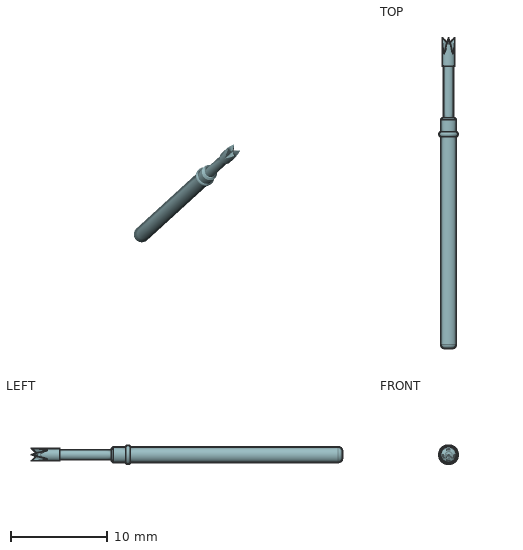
import cadquery as cq
import math


total_length = 32.3
barrel_length = 24.0
head_length = 2.95
collar_center = 22.27
collar_width = 0.5

barrel_radius = 1.65 / 2
collar_radius = 2.0 / 2
shaft_radius = 1.05 / 2
head_radius = 1.3 / 2
rear_face_radius = 0.35

mouth_chamfer = 0.2
rear_rounding = barrel_radius - rear_face_radius

crown_points = 4
crown_pitch = 2 * math.pi / crown_points
crown_center_depth = head_radius
crown_valley_depth = 1.65


def build_barrel():
    """Round barrel with a rounded rear end, a press ring and a chamfered mouth."""
    arc_inset = rear_rounding * (1 - math.sqrt(0.5))
    ring_rear = collar_center - collar_width / 2
    ring_front = collar_center + collar_width / 2
    return (
        cq.Workplane("YZ")
        .moveTo(0, 0)
        .lineTo(0, rear_face_radius)
        .threePointArc((arc_inset, barrel_radius - arc_inset), (rear_rounding, barrel_radius))
        .lineTo(ring_rear, barrel_radius)
        .threePointArc((collar_center, collar_radius), (ring_front, barrel_radius))
        .lineTo(barrel_length - mouth_chamfer, barrel_radius)
        .lineTo(barrel_length, barrel_radius - mouth_chamfer)
        .lineTo(barrel_length, 0)
        .close()
        .revolve(360, (0, 0, 0), (1, 0, 0))
    )


def build_plunger():
    """Thin shaft leaving the barrel mouth, ending in a thicker head."""
    head_start = total_length - head_length
    plunger_start = collar_center
    return (
        cq.Workplane("YZ")
        .moveTo(plunger_start, 0)
        .lineTo(plunger_start, shaft_radius)
        .lineTo(head_start, shaft_radius)
        .lineTo(head_start, head_radius)
        .lineTo(total_length, head_radius)
        .lineTo(total_length, 0)
        .close()
        .revolve(360, (0, 0, 0), (1, 0, 0))
    )


def build_crown_groove(angle):
    """V groove running outward from the axis and down to a valley between two points."""
    half_step = crown_pitch / 2
    radial = cq.Vector(math.cos(angle), 0, math.sin(angle))
    sideways = cq.Vector(math.sin(angle), 0, -math.cos(angle))
    crown_center = cq.Vector(0, total_length - crown_center_depth, 0)
    valley_drop = crown_valley_depth - crown_center_depth
    run = radial * head_radius - cq.Vector(0, valley_drop, 0)

    point_sideways = head_radius * math.sin(half_step)
    point_outward = head_radius * math.cos(half_step)
    point_height = (point_outward * valley_drop + crown_center_depth * head_radius) / run.Length

    oversize = 4
    height = point_height * oversize
    half_width = point_sideways * oversize
    section = cq.Plane(origin=crown_center, xDir=sideways, normal=run)
    return (
        cq.Workplane(section)
        .polyline([(0, 0), (half_width, height), (-half_width, height)])
        .close()
        .extrude(run.Length * oversize, both=True)
    )


result = build_barrel().union(build_plunger())
for index in range(crown_points):
    result = result.cut(build_crown_groove((index + 0.5) * crown_pitch))